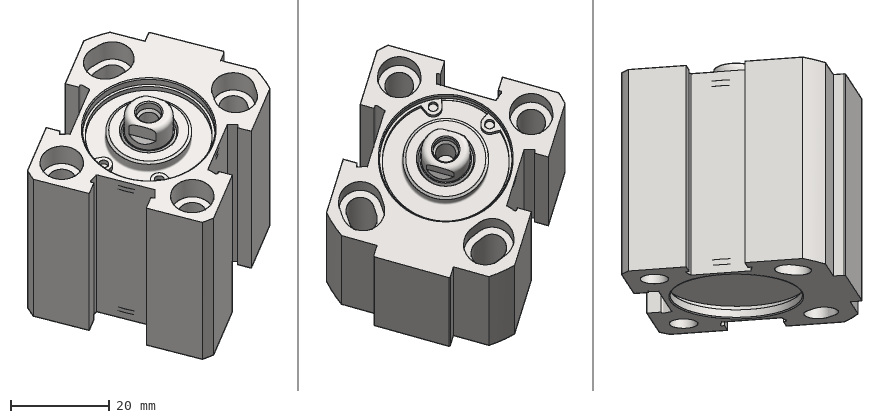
import cadquery as cq
import math


BODY_HALF = 20.0
BODY_HEIGHT = 43.5
CORNER_RADIUS = 27.0
TOTAL_HEIGHT = 49.0
BACK_FACE_Y = 22.0
PAD_FACE_Y = 24.5
PAD_HALF_WIDTH = 8.15
PAD_CHAMFER = 0.25

SLOT_FLOOR = 14.8
SLOT_LIP = 17.0
SLOT_HALF_WIDTH = 6.12
SLOT_FLOOR_HALF_WIDTH = 6.25
SLOT_WIDEST_HALF = 7.0
SLOT_CORNER_FILLET = 0.3

HOLE_PITCH_HALF = 14.0
HOLE_DIAMETER = 5.8
COUNTERBORE_DIAMETER = 8.8
COUNTERBORE_DEPTH = 5.5
OBLONG_SHIFT_X = 1.05
OBLONG_SHIFT_Y = 1.5

BORE_DIAMETER = 27.0
BORE_CHAMFER = 0.25
RING_THICKNESS = 1.2
RING_DEPTH = 1.85
GROOVE_DIAMETER = 29.35
RING_SEAT_DEPTH = RING_DEPTH + RING_THICKNESS
COVER_THICKNESS = 5.9
BORE_DEPTH = RING_SEAT_DEPTH + COVER_THICKNESS
BORE_FLOOR_Z = BODY_HEIGHT - BORE_DEPTH

COVER_DIAMETER = 26.9
BOSS_DIAMETER = 17.5
BOSS_TOP_Z = BODY_HEIGHT - 0.3
BOSS_CHAMFER_WIDTH = 0.6
BOSS_CHAMFER_HEIGHT = 0.35
BOSS_FOOT_FILLET = 0.4
WIPER_MOUTH_RADIUS = 6.0
WIPER_GROOVE_RADIUS = 5.7
WIPER_LIP_RADIUS = 5.25
WIPER_GROOVE_DEPTH = 0.9
WIPER_LIP_DEPTH = 0.25

RING_INNER_RADIUS = 12.95
EAR_CENTRE_RADIUS = 11.95
EAR_RADIUS = 1.8
EAR_ANGLE = 30.4
EAR_ROOT_ANGLE = 41.1
EAR_HOLE_DIAMETER = 2.0
RING_TURN = -1.6

ROD_DIAMETER = 10.0
ROD_FILLET = 1.22
FLAT_HALF_WIDTH = 4.05
FLAT_HEIGHT = 3.5
THREAD_DIAMETER = 5.25
THREAD_MOUTH_DIAMETER = 5.8
THREAD_DEPTH = 1.95
DRILL_DIAMETER = 4.1
DRILL_DEPTH = 9.8


def polar(radius, degrees):
    """Point at an angle measured from -Y towards +X."""
    angle = math.radians(degrees)
    return (radius * math.sin(angle), -radius * math.cos(angle))


def cylinder(diameter, bottom, height):
    return cq.Workplane("XY").workplane(offset=bottom).circle(diameter / 2).extrude(height)


def sensor_slot():
    """Undercut slot in the -Y side, over the full height."""
    right_side = [
        (SLOT_HALF_WIDTH, -CORNER_RADIUS),
        (SLOT_HALF_WIDTH, -SLOT_LIP),
        (SLOT_WIDEST_HALF, -SLOT_LIP),
        (SLOT_FLOOR_HALF_WIDTH, -SLOT_FLOOR),
    ]
    left_side = [(-x, y) for x, y in reversed(right_side)]
    slot = cq.Workplane("XY").polyline(right_side + left_side).close().extrude(BODY_HEIGHT)
    widest_edges = slot.edges("|Z").edges("<X or >X")
    return widest_edges.fillet(SLOT_CORNER_FILLET)


def housing_block():
    depth = BODY_HALF + BACK_FACE_Y
    block = (
        cq.Workplane("XY")
        .center(0, (BACK_FACE_Y - BODY_HALF) / 2)
        .rect(2 * BODY_HALF, depth)
        .extrude(BODY_HEIGHT)
        .intersect(cylinder(2 * CORNER_RADIUS, 0, BODY_HEIGHT))
    )
    pad = (
        cq.Workplane("XY")
        .center(0, PAD_FACE_Y / 2)
        .rect(2 * PAD_HALF_WIDTH, PAD_FACE_Y)
        .extrude(BODY_HEIGHT)
        .edges("|Z and >Y")
        .chamfer(PAD_CHAMFER)
    )
    return block.union(pad)


def mounting_holes(diameter, bottom, height):
    """Round holes at the -Y corners and oblong ones at the +Y corners."""
    holes = cq.Workplane("XY")
    length = math.hypot(OBLONG_SHIFT_X, OBLONG_SHIFT_Y)
    tilt = math.degrees(math.atan2(OBLONG_SHIFT_Y, OBLONG_SHIFT_X))
    for side in (-1, 1):
        round_hole = cylinder(diameter, bottom, height)
        holes = holes.add(round_hole.translate((side * HOLE_PITCH_HALF, -HOLE_PITCH_HALF, 0)))
        middle_x = side * (HOLE_PITCH_HALF - OBLONG_SHIFT_X / 2)
        middle_y = HOLE_PITCH_HALF + OBLONG_SHIFT_Y / 2
        oblong = (
            cq.Workplane("XY")
            .workplane(offset=bottom)
            .center(middle_x, middle_y)
            .slot2D(length + diameter, diameter, -side * tilt)
            .extrude(height)
        )
        holes = holes.add(oblong)
    return holes.combine()


def end_recess(depth):
    """Cover bore with a chamfered mouth and a retaining groove, opening upwards at the body top."""
    bore_radius = BORE_DIAMETER / 2
    mouth_radius = bore_radius + BORE_CHAMFER
    bore = (
        cq.Workplane("XZ")
        .moveTo(0, BODY_HEIGHT)
        .lineTo(mouth_radius, BODY_HEIGHT)
        .lineTo(bore_radius, BODY_HEIGHT - BORE_CHAMFER)
        .lineTo(bore_radius, BODY_HEIGHT - depth)
        .lineTo(0, BODY_HEIGHT - depth)
        .close()
        .revolve(360, (0, 0, 0), (0, 1, 0))
    )
    groove = cylinder(GROOVE_DIAMETER, BODY_HEIGHT - RING_SEAT_DEPTH, RING_THICKNESS)
    return bore.union(groove)


def build_housing():
    body = housing_block()
    for turn in (-90, 0, 90):
        body = body.cut(sensor_slot().rotate((0, 0, 0), (0, 0, 1), turn))
    body = body.cut(mounting_holes(HOLE_DIAMETER, 0, BODY_HEIGHT))
    counterbore_floor = BODY_HEIGHT - COUNTERBORE_DEPTH
    body = body.cut(mounting_holes(COUNTERBORE_DIAMETER, counterbore_floor, COUNTERBORE_DEPTH))
    body = body.cut(end_recess(BORE_DEPTH))
    rear = end_recess(RING_SEAT_DEPTH).mirror("XY", (0, 0, BODY_HEIGHT / 2))
    return body.cut(rear)


def build_cover():
    """Turned rod cover: flange, chamfered boss and a V groove round the wiper lip."""
    flange_z = BODY_HEIGHT - RING_SEAT_DEPTH
    boss_radius = BOSS_DIAMETER / 2
    fillet_middle = BOSS_FOOT_FILLET * (1 - math.sqrt(0.5))
    profile = (
        cq.Workplane("XZ")
        .moveTo(ROD_DIAMETER / 2, BORE_FLOOR_Z)
        .lineTo(COVER_DIAMETER / 2, BORE_FLOOR_Z)
        .lineTo(COVER_DIAMETER / 2, flange_z)
        .lineTo(boss_radius + BOSS_FOOT_FILLET, flange_z)
        .threePointArc(
            (boss_radius + fillet_middle, flange_z + fillet_middle),
            (boss_radius, flange_z + BOSS_FOOT_FILLET),
        )
        .lineTo(boss_radius, BOSS_TOP_Z - BOSS_CHAMFER_HEIGHT)
        .lineTo(boss_radius - BOSS_CHAMFER_WIDTH, BOSS_TOP_Z)
        .lineTo(WIPER_MOUTH_RADIUS, BOSS_TOP_Z)
        .lineTo(WIPER_GROOVE_RADIUS, BOSS_TOP_Z - WIPER_GROOVE_DEPTH)
        .lineTo(WIPER_LIP_RADIUS, BOSS_TOP_Z - WIPER_LIP_DEPTH)
        .lineTo(ROD_DIAMETER / 2, BOSS_TOP_Z - WIPER_LIP_DEPTH)
        .close()
    )
    return profile.revolve(360, (0, 0, 0), (0, 1, 0))


def build_retaining_ring():
    """Open ring whose two ends carry an ear with a plier hole."""
    outer = GROOVE_DIAMETER / 2
    ear = polar(EAR_CENTRE_RADIUS, EAR_ANGLE)
    gap_angle = EAR_ANGLE - math.degrees(math.asin(EAR_RADIUS / EAR_CENTRE_RADIUS))
    end_tangent = polar(math.sqrt(EAR_CENTRE_RADIUS**2 - EAR_RADIUS**2), gap_angle)
    end_outer = polar(outer, gap_angle)
    ear_tip = polar(EAR_CENTRE_RADIUS - EAR_RADIUS, EAR_ANGLE)
    root = polar(RING_INNER_RADIUS, EAR_ROOT_ANGLE)
    to_root = math.atan2(root[1] - ear[1], root[0] - ear[0])
    spread = math.acos(EAR_RADIUS / math.dist(root, ear))
    flank_angle = to_root + spread
    flank = (ear[0] + EAR_RADIUS * math.cos(flank_angle), ear[1] + EAR_RADIUS * math.sin(flank_angle))

    def mirrored(point):
        return (-point[0], point[1])

    ring = (
        cq.Workplane("XY")
        .workplane(offset=BODY_HEIGHT - RING_SEAT_DEPTH)
        .moveTo(*end_outer)
        .threePointArc((0, outer), mirrored(end_outer))
        .lineTo(*mirrored(end_tangent))
        .threePointArc(mirrored(ear_tip), mirrored(flank))
        .lineTo(*mirrored(root))
        .threePointArc((0, RING_INNER_RADIUS), root)
        .lineTo(*flank)
        .threePointArc(ear_tip, end_tangent)
        .close()
        .extrude(RING_THICKNESS)
    )
    for centre in (ear, mirrored(ear)):
        hole = cylinder(EAR_HOLE_DIAMETER, BODY_HEIGHT - RING_SEAT_DEPTH, RING_THICKNESS)
        ring = ring.cut(hole.translate((*centre, 0)))
    return ring.rotate((0, 0, 0), (0, 0, 1), RING_TURN)


def wrench_flat():
    """Cutter for the -Y flat, with a 45 degree run-out below it."""
    flat_z = TOTAL_HEIGHT - FLAT_HEIGHT
    reach = ROD_DIAMETER - FLAT_HALF_WIDTH
    return (
        cq.Workplane("YZ")
        .moveTo(-FLAT_HALF_WIDTH, TOTAL_HEIGHT)
        .lineTo(-FLAT_HALF_WIDTH, flat_z)
        .lineTo(-FLAT_HALF_WIDTH - reach, flat_z - reach)
        .lineTo(-FLAT_HALF_WIDTH - reach, TOTAL_HEIGHT)
        .close()
        .extrude(ROD_DIAMETER / 2, both=True)
    )


def rod_hole():
    """Threaded hole: chamfered mouth, full diameter, then a cone down to the drilled core."""
    thread = THREAD_DIAMETER / 2
    mouth = THREAD_MOUTH_DIAMETER / 2
    drill = DRILL_DIAMETER / 2
    thread_z = TOTAL_HEIGHT - THREAD_DEPTH
    drill_z = TOTAL_HEIGHT - DRILL_DEPTH
    return (
        cq.Workplane("XZ")
        .moveTo(0, TOTAL_HEIGHT)
        .lineTo(mouth, TOTAL_HEIGHT)
        .lineTo(thread, TOTAL_HEIGHT - (mouth - thread))
        .lineTo(thread, thread_z)
        .lineTo(drill, thread_z - (thread - drill))
        .lineTo(drill, drill_z)
        .lineTo(0, drill_z)
        .close()
        .revolve(360, (0, 0, 0), (0, 1, 0))
    )


def build_rod():
    rod = cylinder(ROD_DIAMETER, BORE_FLOOR_Z, TOTAL_HEIGHT - BORE_FLOOR_Z)
    rod = rod.faces(">Z").edges().fillet(ROD_FILLET)
    for turn in (0, 180):
        rod = rod.cut(wrench_flat().rotate((0, 0, 0), (0, 0, 1), turn))
    return rod.cut(rod_hole())


housing = build_housing()
rod_cover = build_cover()
retaining_ring = build_retaining_ring()
piston_rod = build_rod()

result = cq.Compound.makeCompound(
    [housing.val(), rod_cover.val(), retaining_ring.val(), piston_rod.val()]
)